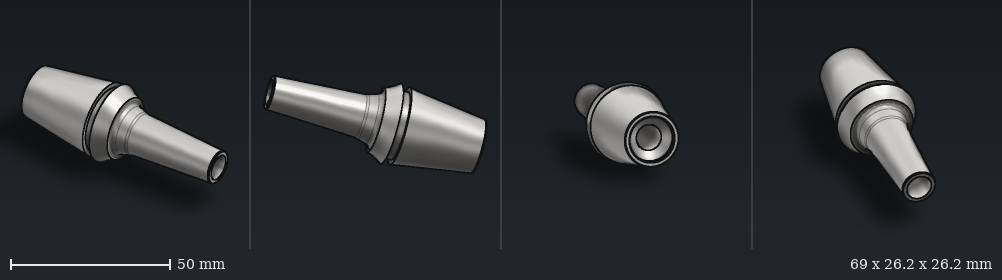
import cadquery as cq
import math

total_length = 69.0
groove_start = 26.0
groove_end = 28.9
flange_end = 33.9
neck_start = 35.4
neck_end = 38.3
stem_start = 39.1

nose_radius = 8.8
taper_radius = 12.55
groove_radius = 11.0
flange_radius = 13.1
flange_back_radius = 10.4
shoulder_radius = 9.6
neck_start_radius = 8.1
neck_end_radius = 7.3
stem_radius = 7.05
stem_end_radius = 5.5

flange_sag = 0.2
end_chamfer_length = 0.4
end_chamfer_drop = 0.2

bore_radius = 4.1
mouth_radius = 7.2
mouth_depth = 1.85
seat_depth = 3.6
mouth_chamfer = 0.3


def revolve_about_x(profile):
    return profile.close().revolve(360, (0, 0, 0), (1, 0, 0))


def make_body():
    """Tapered head, groove, flange, blended neck and slender stem."""
    flange_length = flange_end - groove_end
    flange_drop = flange_radius - flange_back_radius
    flange_slant = math.hypot(flange_length, flange_drop)
    flange_middle = (
        (groove_end + flange_end) / 2 - flange_sag * flange_drop / flange_slant,
        (flange_radius + flange_back_radius) / 2 - flange_sag * flange_length / flange_slant,
    )
    neck_direction = (neck_end - neck_start, neck_end_radius - neck_start_radius)
    profile = (
        cq.Workplane("XY")
        .lineTo(0, nose_radius - end_chamfer_drop)
        .lineTo(end_chamfer_length, nose_radius)
        .lineTo(groove_start, taper_radius)
        .lineTo(groove_start, groove_radius)
        .lineTo(groove_end, groove_radius)
        .lineTo(groove_end, flange_radius)
        .threePointArc(flange_middle, (flange_end, flange_back_radius))
        .lineTo(flange_end, shoulder_radius)
        .spline(
            [(neck_start, neck_start_radius)],
            tangents=[(0, -1), neck_direction],
            includeCurrent=True,
        )
        .lineTo(neck_end, neck_end_radius)
        .tangentArcPoint((stem_start, stem_radius), relative=False)
        .lineTo(total_length - end_chamfer_length, stem_end_radius)
        .lineTo(total_length, stem_end_radius - end_chamfer_drop)
        .lineTo(total_length, 0)
    )
    return revolve_about_x(profile)


def make_bore():
    """Through bore with a chamfered mouth and a conical seat."""
    profile = (
        cq.Workplane("XY")
        .lineTo(0, mouth_radius + mouth_chamfer)
        .lineTo(mouth_chamfer, mouth_radius)
        .lineTo(mouth_depth, mouth_radius)
        .lineTo(seat_depth, bore_radius)
        .lineTo(total_length, bore_radius)
        .lineTo(total_length, 0)
    )
    return revolve_about_x(profile)


result = make_body().cut(make_bore())